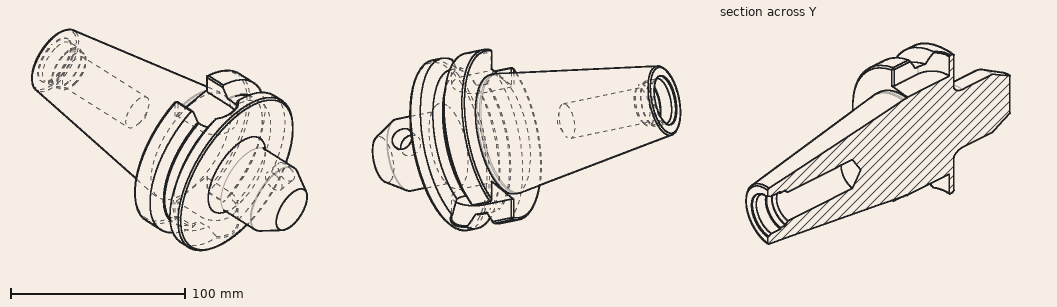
import cadquery as cq
import math

TOTAL_LENGTH = 181.8
TAPER_END = 101.3
COLLAR_START = 102.2
COLLAR_END = 103.8
FLANGE_START = 104.7
FLANGE_END = 139.8
NOSE_CONE_START = 168.7

TAPER_END_RADIUS = 34.9
TAPER_SLOPE = 7 / 48
TAPER_EDGE_CHAMFER = 1.0
COLLAR_RADIUS = 35.0
NECK_RADIUS = 34.9

FLANGE_RADIUS = 50.0
FLANGE_CHAMFER = 1.0
GROOVE_RADIUS = 42.5
GROOVE_CORNER_RADIUS = 0.7
GROOVE_START = 117.3
GROOVE_END = 132.5
GROOVE_WALL_TILT = math.radians(30)

SLOT_HALF_WIDTH = 12.9
SLOT_FLOOR = 35.5
SLOT_TIP = 136.2
SLOT_TIP_CHAMFER = 0.64
CUT_CLEARANCE = 1.8

NOSE_RADIUS = 21.0
NOSE_FILLET_RADIUS = 6.9
NOSE_FILLET_LENGTH = 6.2
NOSE_SHOULDER_RADIUS = 1.0
NOSE_TIP_RADIUS = 13.8
NOSE_TIP_CHAMFER = 0.4
SCREW_HOLE_X = 158.9
SCREW_HOLE_RADIUS = 6.4
SCREW_HOLE_DEPTH = 10.9

BORE_MOUTH_RADIUS = 14.4
BORE_MOUTH_DEPTH = 0.7
PILOT_RADIUS = 13.3
PILOT_START = 2.7
PILOT_END = 9.6
RELIEF_RADIUS = 12.4
RELIEF_END = 13.5
THREAD_RADIUS = 12.0
CORE_RADIUS = 10.2
CORE_START = 15.3
CORE_DEPTH = 63.6
DRILL_POINT_ANGLE = math.radians(59)


def revolve_about_x(profile):
    return profile.close().revolve(360, (0, 0, 0), (1, 0, 0))


def make_taper():
    small_radius = TAPER_END_RADIUS - TAPER_END * TAPER_SLOPE
    chamfer_radius = small_radius + TAPER_EDGE_CHAMFER * TAPER_SLOPE
    return revolve_about_x(
        cq.Workplane("XY")
        .lineTo(0, chamfer_radius - TAPER_EDGE_CHAMFER)
        .lineTo(TAPER_EDGE_CHAMFER, chamfer_radius)
        .lineTo(TAPER_END, TAPER_END_RADIUS)
        .lineTo(COLLAR_START, COLLAR_RADIUS)
        .lineTo(COLLAR_END, COLLAR_RADIUS)
        .lineTo(FLANGE_START, NECK_RADIUS)
        .lineTo(FLANGE_END, NECK_RADIUS)
        .lineTo(FLANGE_END, 0)
    )


def make_drive_slot(side):
    """Round-ended slot cutter on the +Z (side = 1) or -Z (side = -1) flank."""
    straight_end = SLOT_TIP - SLOT_HALF_WIDTH
    slot = (
        cq.Workplane("XY", origin=(0, 0, side * SLOT_FLOOR))
        .moveTo(FLANGE_START, -SLOT_HALF_WIDTH)
        .lineTo(straight_end, -SLOT_HALF_WIDTH)
        .threePointArc((SLOT_TIP, 0), (straight_end, SLOT_HALF_WIDTH))
        .lineTo(FLANGE_START, SLOT_HALF_WIDTH)
        .close()
    )
    return slot.extrude(side * (FLANGE_RADIUS - SLOT_FLOOR + CUT_CLEARANCE))


def make_flange_body():
    groove_run = (FLANGE_RADIUS - GROOVE_RADIUS) * math.tan(GROOVE_WALL_TILT)
    body = revolve_about_x(
        cq.Workplane("XY")
        .moveTo(FLANGE_START, 0)
        .lineTo(FLANGE_START, FLANGE_RADIUS)
        .lineTo(GROOVE_START, FLANGE_RADIUS)
        .lineTo(GROOVE_START + groove_run, GROOVE_RADIUS)
        .lineTo(GROOVE_END - groove_run, GROOVE_RADIUS)
        .lineTo(GROOVE_END, FLANGE_RADIUS)
        .lineTo(FLANGE_END, FLANGE_RADIUS)
        .lineTo(FLANGE_END, 0)
    )
    body = body.faces(">X").edges().chamfer(FLANGE_CHAMFER)
    groove_corner = cq.selectors.NearestToPointSelector((GROOVE_START + groove_run, 0, 0))
    return body.edges(groove_corner).fillet(GROOVE_CORNER_RADIUS)


def chamfer_front_edges(flange):
    """Bevel the front face outline and the outer long edges of both slots."""
    front_edges = flange.faces("<X").edges("not |Y").vals()
    corner_x = (FLANGE_START + GROOVE_START) / 2
    corner_height = math.sqrt(FLANGE_RADIUS**2 - SLOT_HALF_WIDTH**2)
    slot_edges = []
    for side in (1, -1):
        for hand in (1, -1):
            corner = (corner_x, hand * SLOT_HALF_WIDTH, side * corner_height)
            slot_edges += flange.edges(cq.selectors.NearestToPointSelector(corner)).vals()
    return flange.newObject(front_edges + slot_edges).chamfer(FLANGE_CHAMFER)


def make_flange():
    flange = make_flange_body()
    for side in (1, -1):
        flange = flange.cut(make_drive_slot(side))
    flange = chamfer_front_edges(flange)
    for side in (1, -1):
        tip_edge = cq.selectors.NearestToPointSelector((SLOT_TIP, 0, side * FLANGE_RADIUS))
        flange = flange.edges(tip_edge).chamfer(SLOT_TIP_CHAMFER)
    return flange


def make_nose():
    fillet_end = FLANGE_END + NOSE_FILLET_LENGTH
    center_radius = NOSE_RADIUS + NOSE_FILLET_RADIUS

    def fillet_point(x):
        return x, center_radius - math.sqrt(NOSE_FILLET_RADIUS**2 - (fillet_end - x) ** 2)

    nose = revolve_about_x(
        cq.Workplane("XY")
        .moveTo(FLANGE_END, 0)
        .lineTo(*fillet_point(FLANGE_END))
        .threePointArc(fillet_point(FLANGE_END + NOSE_FILLET_LENGTH / 2), (fillet_end, NOSE_RADIUS))
        .lineTo(NOSE_CONE_START, NOSE_RADIUS)
        .lineTo(TOTAL_LENGTH - NOSE_TIP_CHAMFER, NOSE_TIP_RADIUS)
        .lineTo(TOTAL_LENGTH, NOSE_TIP_RADIUS - NOSE_TIP_CHAMFER)
        .lineTo(TOTAL_LENGTH, 0)
    )
    shoulder = cq.selectors.NearestToPointSelector((NOSE_CONE_START, 0, 0))
    return nose.edges(shoulder).fillet(NOSE_SHOULDER_RADIUS)


def make_bore():
    drill_point = CORE_RADIUS / math.tan(DRILL_POINT_ANGLE)
    return revolve_about_x(
        cq.Workplane("XY")
        .lineTo(0, BORE_MOUTH_RADIUS)
        .lineTo(BORE_MOUTH_DEPTH, BORE_MOUTH_RADIUS)
        .lineTo(PILOT_START, PILOT_RADIUS)
        .lineTo(PILOT_END, PILOT_RADIUS)
        .lineTo(PILOT_END, RELIEF_RADIUS)
        .lineTo(RELIEF_END, RELIEF_RADIUS)
        .lineTo(RELIEF_END, THREAD_RADIUS)
        .lineTo(CORE_START, CORE_RADIUS)
        .lineTo(CORE_DEPTH, CORE_RADIUS)
        .lineTo(CORE_DEPTH + drill_point, 0)
    )


def make_screw_hole():
    """Blind radial hole in the +Y flank of the nose."""
    floor = (SCREW_HOLE_X, NOSE_RADIUS - SCREW_HOLE_DEPTH, 0)
    plane = cq.Plane(origin=floor, xDir=(1, 0, 0), normal=(0, 1, 0))
    return cq.Workplane(plane).circle(SCREW_HOLE_RADIUS).extrude(SCREW_HOLE_DEPTH + CUT_CLEARANCE)


body = make_taper().union(make_flange()).union(make_nose())
result = body.cut(make_bore()).cut(make_screw_hole())